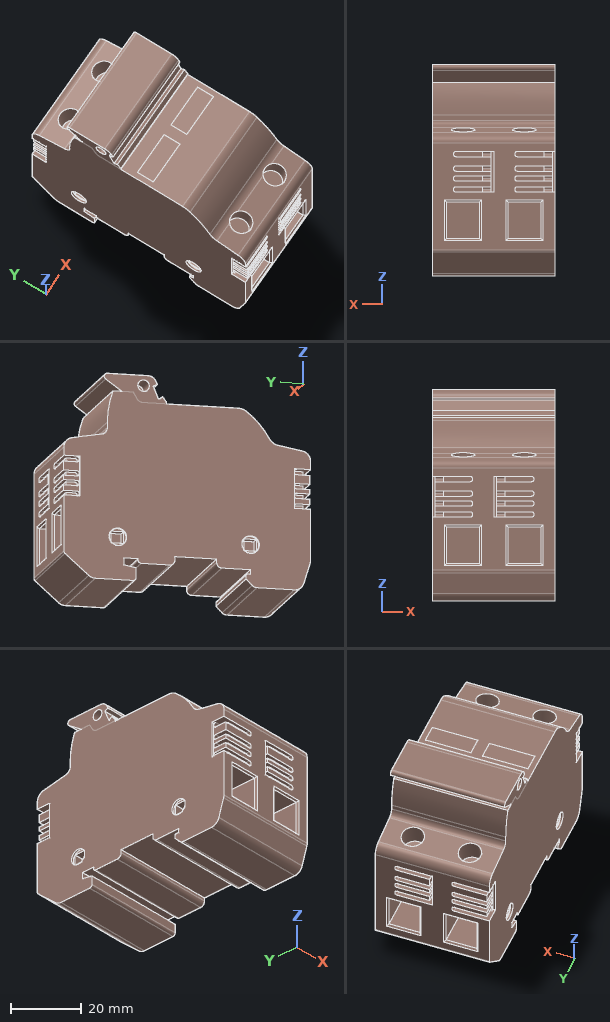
import cadquery as cq
import math


LENGTH = 72.6
WIDTH = 35.0
HEIGHT = 60.3
POLE_COUNT = 2
POLE_WIDTH = WIDTH / POLE_COUNT
LEFT = -WIDTH / 2
FRONT = -LENGTH / 2
BACK = LENGTH / 2

DECK_Z = 52.35
POST_Z = 55.25
SHOULDER_ANGLE = 10.0
SHOULDER_Z = 40.45
NOSE_FOOT_Y = -25.0
POST_BACK_Y = 23.5
POST_FOOT_Y = 14.2
POST_EDGE_Y = 15.9
POST_BACK_TOP_Y = 21.85
POST_BEND_Z = 45.95
POST_BACK_MIDDLE = (23.15, 50.3)
DECK_FRONT_Y = -16.25
NOSE_MIDDLE = (-21.2, 48.05)
FRONT_HEEL_Z = 8.4
FRONT_TOE_Y = -33.7
BACK_HEEL_Z = 7.05
BACK_TOE_Y = 28.2

RAIL_Z = 5.15
CHANNEL_Z = 7.7
CHANNEL_FRONT_Y = -8.65
CHANNEL_BACK_Y = 3.6
FRONT_HOOK_TOE_Y = -19.7
FRONT_HOOK_TIP_Y = -17.3
FRONT_HOOK_TIP_BOTTOM = 2.4
FRONT_HOOK_TIP_TOP = 3.85
FRONT_RAIL_SLOT_Y = -18.6
BACK_HOOK_TIP_Y = 15.0
BACK_HOOK_TIP_TOP = 3.8
BACK_RAIL_SLOT_Y = 18.65
BACK_RAIL_SLOT_FLOOR = 4.4
BACK_RAIL_SLOT_ROOF = 6.45
RAIL_STOP_Y = 14.45

ROUND = 3.0
DECK_FRONT_ROUND = 4.3
NOSE_FOOT_ROUND = 3.5
SMALL_ROUND = 2.0
RAIL_ROUND = 1.5
EDGE_ROUND = 0.9
FRONT_HOOK_ROUND = 0.4

LEVER_EDGE_Y = 19.25
LEVER_NOSE_Y = 26.5
LEVER_NOSE_ROUND = 0.95
LEVER_FRONT_Y = 9.95
LEVER_ROUND = 2.6
LEVER_LIP = (8.8, 57.85)
LEVER_NECK = (10.0, 57.35)
LEVER_NOTCH = (8.4, 53.6)
LEVER_TOOTH = (7.25, 54.4)
LEVER_FOOT_Y = 6.1
LEVER_FOOT_HEIGHT = 0.5
LEVER_ROOT_Z = 50.8
LEVER_HOLE_Y = 12.85
LEVER_HOLE_Z = 57.3
LEVER_HOLE_DIAMETER = 3.35
LEVER_HOLE_DEPTH = 7.25

TERMINAL_WIDTH = 9.45
TERMINAL_HEIGHT = 10.45
TERMINAL_Z = 15.9
TERMINAL_DEPTH = 13.1
TERMINAL_CHAMFER = 0.6

SCREW_Y = 29.2
SCREW_DIAMETER = 6.7
SCREW_DEPTH = 7.0

VENT_SLOT_Z = (34.8, 30.65, 27.8, 24.7)
VENT_SLOT_HEIGHT = 1.5
VENT_END_ROUND = 0.7
VENT_SLOT_LENGTH = 11.5
VENT_SLOT_DEPTH = 1.4
VENT_SLIT_WIDTH = 0.8
VENT_SLIT_DEPTH = 4.7
VENT_GROOVE_WIDTH = 3.2

SOCKET_Y = (20.4, -18.65)
SOCKET_Z = 12.55
SOCKET_WIDTH = 3.6
SOCKET_HEIGHT = 3.4
SOCKET_DEPTH = 3.6
COUNTERBORE_DIAMETER = 5.1
COUNTERBORE_DEPTH = 0.7

LABEL_WIDTH = 13.95
LABEL_LENGTH = 5.4
LABEL_THICKNESS = 0.7
LABEL_Y = -1.1


def shoulder_z(y):
    """Height of the sloping terminal shoulders at a given Y."""
    return SHOULDER_Z + (BACK - abs(y)) * math.tan(math.radians(SHOULDER_ANGLE))


def across(outline):
    """Extrude a closed YZ outline over the full width."""
    return outline.close().extrude(WIDTH)


def side_plane():
    """YZ workplane on the left wall, facing into the part."""
    return cq.Workplane("YZ", origin=(LEFT, 0, 0))


def round_edges(body, corners):
    """Round the edges along X at the given (y, z, radius) corners."""
    for y, z, radius in corners:
        body = body.edges(cq.selectors.NearestToPointSelector((0, y, z))).fillet(radius)
    return body


def make_case_block():
    """Case without lever, openings or vents."""
    deck_front = (DECK_FRONT_Y, DECK_Z)
    nose_foot = (NOSE_FOOT_Y, shoulder_z(NOSE_FOOT_Y))
    post_back_foot = (POST_BACK_Y, shoulder_z(POST_BACK_Y))
    post_foot = (POST_FOOT_Y, DECK_Z)
    front_shoulder = (FRONT, SHOULDER_Z)
    back_shoulder = (BACK, SHOULDER_Z)
    front_heel = (FRONT, FRONT_HEEL_Z)
    front_toe = (FRONT_TOE_Y, 0)
    back_heel = (BACK, BACK_HEEL_Z)
    back_toe = (BACK_TOE_Y, 0)
    front_hook_toe = (FRONT_HOOK_TOE_Y, 0)
    front_hook_tip = (FRONT_HOOK_TIP_Y, FRONT_HOOK_TIP_TOP)
    back_hook_tip = (BACK_HOOK_TIP_Y, 0)
    channel_front = (CHANNEL_FRONT_Y, RAIL_Z)
    channel_back = (CHANNEL_BACK_Y, RAIL_Z)
    rail_stop = (RAIL_STOP_Y, RAIL_Z)

    outline = (
        side_plane()
        .moveTo(*front_shoulder)
        .lineTo(*front_heel)
        .lineTo(*front_toe)
        .lineTo(*front_hook_toe)
        .lineTo(FRONT_HOOK_TIP_Y, FRONT_HOOK_TIP_BOTTOM)
        .lineTo(*front_hook_tip)
        .lineTo(FRONT_RAIL_SLOT_Y, FRONT_HOOK_TIP_TOP)
        .lineTo(FRONT_RAIL_SLOT_Y, RAIL_Z)
        .lineTo(*channel_front)
        .lineTo(CHANNEL_FRONT_Y, CHANNEL_Z)
        .lineTo(CHANNEL_BACK_Y, CHANNEL_Z)
        .lineTo(*channel_back)
        .lineTo(*rail_stop)
        .lineTo(RAIL_STOP_Y, BACK_RAIL_SLOT_ROOF)
        .lineTo(BACK_RAIL_SLOT_Y, BACK_RAIL_SLOT_ROOF)
        .lineTo(BACK_RAIL_SLOT_Y, BACK_RAIL_SLOT_FLOOR)
        .lineTo(BACK_HOOK_TIP_Y, BACK_HOOK_TIP_TOP)
        .lineTo(*back_hook_tip)
        .lineTo(*back_toe)
        .lineTo(*back_heel)
        .lineTo(*back_shoulder)
        .lineTo(*post_back_foot)
        .lineTo(POST_BACK_Y, POST_BEND_Z)
        .threePointArc(POST_BACK_MIDDLE, (POST_BACK_TOP_Y, POST_Z))
        .lineTo(POST_EDGE_Y, POST_Z)
        .lineTo(*post_foot)
        .lineTo(*deck_front)
        .threePointArc(NOSE_MIDDLE, nose_foot)
    )
    return round_edges(across(outline), [
        (*front_shoulder, ROUND),
        (*back_shoulder, ROUND),
        (*front_heel, ROUND),
        (*front_toe, ROUND),
        (*back_heel, EDGE_ROUND),
        (*back_toe, ROUND),
        (*front_hook_toe, SMALL_ROUND),
        (*front_hook_tip, FRONT_HOOK_ROUND),
        (*back_hook_tip, EDGE_ROUND),
        (*channel_front, RAIL_ROUND),
        (*channel_back, RAIL_ROUND),
        (*rail_stop, EDGE_ROUND),
        (*nose_foot, NOSE_FOOT_ROUND),
        (*deck_front, DECK_FRONT_ROUND),
        (*post_back_foot, SMALL_ROUND),
        (*post_foot, SMALL_ROUND),
    ])


def make_lever(block):
    """Lever that stands on the post and deck of the case block."""
    nose = (LEVER_NOSE_Y, HEIGHT)
    front_top = (LEVER_FRONT_Y, HEIGHT)
    outline = (
        side_plane()
        .moveTo(LEVER_EDGE_Y, POST_Z)
        .lineTo(*nose)
        .lineTo(*front_top)
        .lineTo(*LEVER_LIP)
        .lineTo(*LEVER_NECK)
        .lineTo(*LEVER_NOTCH)
        .lineTo(*LEVER_TOOTH)
        .lineTo(LEVER_FOOT_Y, DECK_Z + LEVER_FOOT_HEIGHT)
        .lineTo(LEVER_FOOT_Y, LEVER_ROOT_Z)
        .lineTo(LEVER_EDGE_Y, LEVER_ROOT_Z)
    )
    lever = round_edges(across(outline), [(*nose, LEVER_NOSE_ROUND), (*front_top, LEVER_ROUND)])
    hole = (
        side_plane()
        .center(LEVER_HOLE_Y, LEVER_HOLE_Z)
        .circle(LEVER_HOLE_DIAMETER / 2)
        .extrude(LEVER_HOLE_DEPTH)
    )
    return lever.cut(hole).cut(block)


def make_terminal(pole_x):
    """Front terminal opening with a chamfered mouth."""
    opening = (
        cq.Workplane("XZ", origin=(pole_x + POLE_WIDTH / 2, FRONT, TERMINAL_Z))
        .rect(TERMINAL_WIDTH, TERMINAL_HEIGHT)
        .extrude(-TERMINAL_DEPTH)
    )
    mouth = (
        cq.Workplane("XZ", origin=(pole_x + POLE_WIDTH / 2, FRONT, TERMINAL_Z))
        .rect(TERMINAL_WIDTH + 2 * TERMINAL_CHAMFER, TERMINAL_HEIGHT + 2 * TERMINAL_CHAMFER)
        .extrude(-TERMINAL_CHAMFER, taper=45)
    )
    return opening.union(mouth)


def make_screw_hole(pole_x):
    """Blind front screw hole, square to the shoulder."""
    tilt = math.radians(SHOULDER_ANGLE)
    mouth = cq.Vector(pole_x + POLE_WIDTH / 2, -SCREW_Y, shoulder_z(SCREW_Y))
    outward = cq.Vector(0, -math.sin(tilt), math.cos(tilt))
    floor = mouth - outward * SCREW_DEPTH
    return cq.Workplane(cq.Solid.makeCylinder(SCREW_DIAMETER / 2, 2 * SCREW_DEPTH, floor, outward))


def make_vent(pole_x):
    """Front vent: a slit at the left of the pole and slots that wrap around its corner."""
    top = VENT_SLOT_Z[0] + VENT_SLOT_HEIGHT / 2
    bottom = VENT_SLOT_Z[-1] - VENT_SLOT_HEIGHT / 2
    vent = (
        cq.Workplane("XY", origin=(pole_x, FRONT, bottom))
        .rect(VENT_SLIT_WIDTH, VENT_SLIT_DEPTH, centered=False)
        .extrude(top - bottom)
    )
    for z in VENT_SLOT_Z:
        corner = (pole_x, FRONT, z - VENT_SLOT_HEIGHT / 2)
        face_slot = (
            cq.Workplane("XY", origin=corner)
            .rect(VENT_SLOT_LENGTH, VENT_SLOT_DEPTH, centered=False)
            .extrude(VENT_SLOT_HEIGHT)
            .edges("|Y and >X").fillet(VENT_END_ROUND)
        )
        side_groove = (
            cq.Workplane("XY", origin=corner)
            .rect(VENT_GROOVE_WIDTH, VENT_SLIT_DEPTH, centered=False)
            .extrude(VENT_SLOT_HEIGHT)
            .edges("|X and >Y").fillet(VENT_END_ROUND)
        )
        vent = vent.union(face_slot).union(side_groove)
    return vent


def make_socket(y):
    """Square socket with a round counterbore in the left wall."""
    wall = side_plane().center(y, SOCKET_Z)
    counterbore = wall.circle(COUNTERBORE_DIAMETER / 2).extrude(COUNTERBORE_DEPTH)
    return wall.rect(SOCKET_WIDTH, SOCKET_HEIGHT).extrude(SOCKET_DEPTH).union(counterbore)


def make_label(pole_x):
    """Label plate lying flush with the deck."""
    return (
        cq.Workplane("XY", origin=(pole_x + POLE_WIDTH / 2, LABEL_Y, DECK_Z))
        .rect(LABEL_WIDTH, LABEL_LENGTH)
        .extrude(-LABEL_THICKNESS)
    )


def make_case(labels, pole_starts):
    """Case with its lever, with every opening cut and a recess for each label."""
    block = make_case_block()
    case = block.union(make_lever(block), clean=False)
    cutters = [make_socket(y) for y in SOCKET_Y] + labels
    for x in pole_starts:
        for front_cutter in (make_terminal(x), make_screw_hole(x), make_vent(x)):
            cutters += [front_cutter, front_cutter.mirror("XZ")]
    for cutter in cutters:
        case = case.cut(cutter, clean=False)
    return case.solids()


pole_starts = [LEFT + i * POLE_WIDTH for i in range(POLE_COUNT)]
labels = [make_label(x) for x in pole_starts]
case = make_case(labels, pole_starts)

result = cq.Compound.makeCompound([case.val(), *[label.val() for label in labels]])